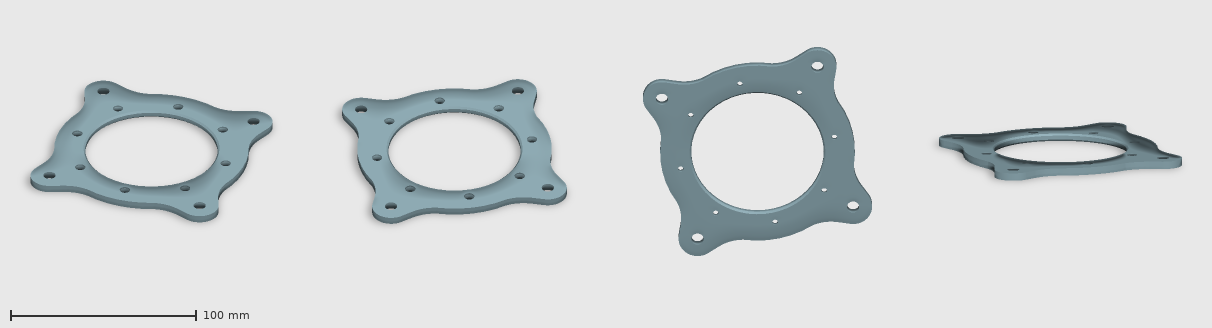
import cadquery as cq
import math

overall_size = 106.6
thickness = 4.0
rim_radius = 52.5
rim_half_width = 19.2

ear_offset = 43.1
ear_radius = overall_size / 2 - ear_offset
ear_hole_diameter = 6.6
flank_angle = 21.7
flank_end = 32.8

bore_diameter = 71.5
bore_chamfer = 1.0

screw_count = 8
screw_circle_radius = 42.5
screw_hole_diameter = 3.0
countersink_diameter = 5.5
countersink_angle = 90.0
head_recess_depth = 0.7


def rotated(point, quarter_turns):
    """Turn a point about the plate centre by clockwise quarter turns."""
    x, y = point
    for _ in range(quarter_turns):
        x, y = y, -x
    return x, y


def plate_outline():
    """Four bulging edges joined by round ears through concave arcs."""
    angle = math.radians(flank_angle)
    rim_end = (rim_half_width, math.sqrt(rim_radius**2 - rim_half_width**2))
    ear_start = (
        ear_offset - ear_radius * math.sin(angle),
        ear_offset + ear_radius * math.cos(angle),
    )
    flank_drop = (ear_start[0] - flank_end) * math.tan(angle)
    flank_foot = (flank_end, ear_start[1] - flank_drop)
    ear_tip = ear_offset + ear_radius / math.sqrt(2)

    normal = (-math.sin(angle), math.cos(angle))
    chord = (rim_end[0] - flank_foot[0], rim_end[1] - flank_foot[1])
    chord_along_normal = chord[0] * normal[0] + chord[1] * normal[1]
    concave_radius = (chord[0] ** 2 + chord[1] ** 2) / (2 * chord_along_normal)

    def mirrored(point):
        """Mirror a point across the diagonal through the ear."""
        return point[1], point[0]

    outline = cq.Workplane("XY").moveTo(-rim_end[0], rim_end[1])
    for turn in range(4):
        outline = (
            outline.threePointArc(rotated((0, rim_radius), turn), rotated(rim_end, turn))
            .radiusArc(rotated(flank_foot, turn), -concave_radius)
            .lineTo(*rotated(ear_start, turn))
            .threePointArc(rotated((ear_tip, ear_tip), turn), rotated(mirrored(ear_start), turn))
            .lineTo(*rotated(mirrored(flank_foot), turn))
            .radiusArc(rotated(mirrored(rim_end), turn), -concave_radius)
        )
    return outline.close()


def screw_hole_cutter():
    """Solid of one screw hole: a shaft, a cone and a short straight head recess."""
    hole_radius = screw_hole_diameter / 2
    head_radius = countersink_diameter / 2
    cone_depth = (head_radius - hole_radius) / math.tan(math.radians(countersink_angle / 2))
    head_floor = thickness - head_recess_depth
    return (
        cq.Workplane("XZ")
        .moveTo(0, 0)
        .lineTo(hole_radius, 0)
        .lineTo(hole_radius, head_floor - cone_depth)
        .lineTo(head_radius, head_floor)
        .lineTo(head_radius, thickness)
        .lineTo(0, thickness)
        .close()
        .revolve(360, (0, 0), (0, 1))
        .val()
    )


plate = plate_outline().extrude(thickness)

plate = plate.faces(">Z").workplane(origin=(0, 0, thickness)).hole(bore_diameter)
for face, height in ((">Z", thickness), ("<Z", 0)):
    bore_edge = cq.selectors.NearestToPointSelector((0, 0, height))
    plate = plate.faces(face).edges(bore_edge).chamfer(bore_chamfer)

plate = (
    plate.faces(">Z")
    .workplane(origin=(0, 0, thickness))
    .rect(2 * ear_offset, 2 * ear_offset, forConstruction=True)
    .vertices()
    .hole(ear_hole_diameter)
)

screw_positions = cq.Workplane("XY").polarArray(screw_circle_radius, 0, 360, screw_count)
screw_holes = screw_positions.eachpoint(screw_hole_cutter(), combine=False)
result = plate.cut(screw_holes)